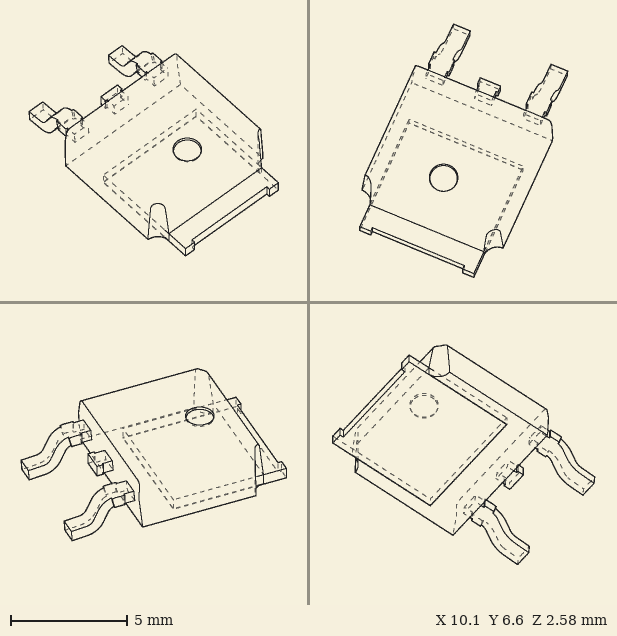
import cadquery as cq
import math


total_length = 10.1
total_width = 6.6
total_height = 2.58

metal_thickness = 0.53

housing_bottom_z = 0.22
flank_band_top_z = 0.55
lead_side_x = 2.93
tab_side_x = 9.02
lead_side_draft = 5.0
tab_side_draft = 7.0
flank_draft = 4.0
top_edge_radius = 0.24
corner_cut_radius = 0.63

mark_x = 7.21
mark_top_radius = 0.62
mark_floor_radius = 0.59
mark_depth = 0.1

tab_bottom_z = 0.19
tab_top_z = tab_bottom_z + metal_thickness
tab_inner_x = 4.79
tab_width = total_width - 2 * corner_cut_radius
tab_notch_width = 4.3
tab_notch_depth = 0.17

lead_top_z = 1.79
outer_lead_y = 2.28
lead_width = 0.79
collar_width = 0.96
collar_inner_x = 2.47
collar_wrap_angle = 13.7
centre_lead_tip_x = 2.17
bend_inner_radius = 0.38
slope_angle = 64.0
foot_angle = 4.0
foot_length = 0.72

lead_z = lead_top_z - metal_thickness / 2
bend_radius = bend_inner_radius + metal_thickness / 2
slope = math.radians(slope_angle)
foot_tilt = math.radians(foot_angle)
foot_tip_x = metal_thickness / 2 * math.sin(foot_tilt)
foot_tip_z = metal_thickness / 2 * math.cos(foot_tilt)
foot_heel_x = foot_tip_x + foot_length * math.cos(foot_tilt)
foot_heel_z = foot_tip_z + foot_length * math.sin(foot_tilt)
lower_centre_x = foot_heel_x - bend_radius * math.sin(foot_tilt)
lower_centre_z = foot_heel_z + bend_radius * math.cos(foot_tilt)
upper_centre_z = lead_z - bend_radius
slope_rise = upper_centre_z - lower_centre_z + 2 * bend_radius * math.cos(slope)
slope_run = slope_rise / math.tan(slope)
upper_centre_x = lower_centre_x + 2 * bend_radius * math.sin(slope) + slope_run

lead_side_bottom_x = lead_side_x + (lead_top_z - housing_bottom_z) * math.tan(math.radians(lead_side_draft))


def lower_bend_point(heading):
    """Centreline point of the lower bend where the strip climbs at this heading."""
    return (
        lower_centre_x + bend_radius * math.sin(heading),
        lower_centre_z - bend_radius * math.cos(heading),
    )


def upper_bend_point(heading):
    """Centreline point of the upper bend where the strip climbs at this heading."""
    return (
        upper_centre_x - bend_radius * math.sin(heading),
        upper_centre_z + bend_radius * math.cos(heading),
    )


def sweep_strip(path, width):
    """Sweep the sheet-metal section along a path that ends level, pointing along +X."""
    end = path.val().endPoint()
    section = cq.Workplane("YZ", origin=end.toTuple()).rect(width, metal_thickness)
    return section.sweep(path)


def make_housing_block():
    """Drafted block before its recesses: side profile crossed with end profile."""
    lead_side_top_x = lead_side_x + (total_height - lead_top_z) * math.tan(math.radians(lead_side_draft))
    tab_side_top_x = tab_side_x - (total_height - tab_top_z) * math.tan(math.radians(tab_side_draft))
    half_width = total_width / 2
    drafted_height = total_height - flank_band_top_z
    half_top_width = half_width - drafted_height * math.tan(math.radians(flank_draft))

    side_profile = (
        cq.Workplane("XZ")
        .polyline([
            (lead_side_bottom_x, housing_bottom_z),
            (tab_side_x, housing_bottom_z),
            (tab_side_x, tab_top_z),
            (tab_side_top_x, total_height),
            (lead_side_top_x, total_height),
            (lead_side_x, lead_top_z),
        ])
        .close()
        .extrude(half_width, both=True)
    )
    end_profile = (
        cq.Workplane("YZ")
        .polyline([
            (-half_width, housing_bottom_z),
            (half_width, housing_bottom_z),
            (half_width, flank_band_top_z),
            (half_top_width, total_height),
            (-half_top_width, total_height),
            (-half_width, flank_band_top_z),
        ])
        .close()
        .extrude(total_length)
    )
    block = side_profile.intersect(end_profile)

    return block.faces(">Z").edges("|X or >X").fillet(top_edge_radius)


def make_corner_cuts():
    """Upright cylinders that scoop out the two tab-side corners."""
    return (
        cq.Workplane("XY")
        .pushPoints([(tab_side_x, -total_width / 2), (tab_side_x, total_width / 2)])
        .circle(corner_cut_radius)
        .extrude(total_height)
    )


def make_mark():
    """Shallow cone that forms the round mark."""
    return (
        cq.Workplane("XY", origin=(mark_x, 0, total_height))
        .circle(mark_top_radius)
        .workplane(offset=-mark_depth)
        .circle(mark_floor_radius)
        .loft()
    )


def make_tab():
    """Flat heat tab with a shallow notch across its free end."""
    tab_length = total_length - tab_inner_x
    tab = (
        cq.Workplane("XY", origin=(tab_inner_x, 0, tab_bottom_z))
        .box(tab_length, tab_width, metal_thickness, centered=(False, True, False))
    )
    notch = (
        cq.Workplane("XY", origin=(total_length - tab_notch_depth, 0, tab_bottom_z))
        .box(tab_notch_depth, tab_notch_width, metal_thickness, centered=(False, True, False))
    )
    return tab.cut(notch)


def make_gull_lead(y, housing_block):
    """Gull-wing lead at the given Y, ending on the housing face."""
    path = (
        cq.Workplane("XZ", origin=(0, y, 0))
        .moveTo(foot_tip_x, foot_tip_z)
        .lineTo(foot_heel_x, foot_heel_z)
        .threePointArc(lower_bend_point((foot_tilt + slope) / 2), lower_bend_point(slope))
        .lineTo(*upper_bend_point(slope))
        .threePointArc(upper_bend_point(slope / 2), upper_bend_point(0))
        .lineTo(lead_side_bottom_x, lead_z)
        .wire()
    )
    collar_wrap = math.radians(collar_wrap_angle)
    collar_path = (
        cq.Workplane("XZ", origin=(0, y, 0))
        .moveTo(*upper_bend_point(collar_wrap))
        .threePointArc(upper_bend_point(collar_wrap / 2), upper_bend_point(0))
        .lineTo(collar_inner_x, lead_z)
        .wire()
    )
    strip = sweep_strip(path, lead_width)
    collar = sweep_strip(collar_path, collar_width)
    return strip.union(collar).cut(housing_block)


def make_centre_lead(housing_block):
    """Straight lead cropped off within its collar, ending on the housing face."""
    base = cq.Workplane("XY", origin=(centre_lead_tip_x, 0, lead_top_z - metal_thickness))
    strip = base.box(
        lead_side_bottom_x - centre_lead_tip_x, lead_width, metal_thickness, centered=(False, True, False)
    )
    collar = base.box(
        collar_inner_x - centre_lead_tip_x, collar_width, metal_thickness, centered=(False, True, False)
    )
    return strip.union(collar).cut(housing_block)


housing_block = make_housing_block()
tab = make_tab()
housing = housing_block.cut(make_corner_cuts()).cut(make_mark()).cut(tab)
centre_lead = make_centre_lead(housing_block)
gull_leads = [make_gull_lead(y, housing_block) for y in (-outer_lead_y, outer_lead_y)]

result = cq.Compound.makeCompound([
    housing.val(),
    tab.val(),
    centre_lead.val(),
    *[lead.val() for lead in gull_leads],
])